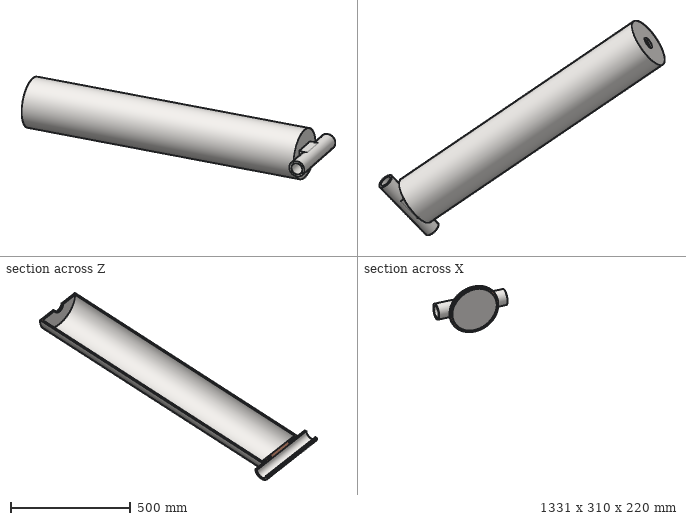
import cadquery as cq

body_length = 1260.0
body_diameter = 220.0
wall_thickness = 10.0
port_diameter = 50.0

tube_length = 310.0
tube_outer_diameter = 70.0
tube_inner_diameter = 50.0
tube_gap = 1.0

block_width = body_diameter / 2

tube_center_x = body_length + tube_gap + tube_outer_diameter / 2


def cylinder_along_x(start_x, length, diameter):
    """Solid cylinder on the X axis."""
    return cq.Workplane("YZ", origin=(start_x, 0, 0)).circle(diameter / 2).extrude(length)


def cylinder_along_y(diameter):
    """Solid cylinder as long as the cross tube, centered on Y."""
    plane = cq.Workplane("XZ", origin=(tube_center_x, 0, 0))
    return plane.circle(diameter / 2).extrude(tube_length / 2, both=True)


def make_body():
    """Closed vessel with a port through the near end cap."""
    outside = cylinder_along_x(0, body_length, body_diameter)
    cavity = cylinder_along_x(
        wall_thickness,
        body_length - 2 * wall_thickness,
        body_diameter - 2 * wall_thickness,
    )
    port = cylinder_along_x(0, wall_thickness, port_diameter)
    return outside.cut(cavity).cut(port)


def make_cross_tube():
    """Tube with its joining block, bored through along Y."""
    block = cq.Workplane("XY", origin=(body_length, 0, 0)).box(
        tube_center_x - body_length,
        block_width,
        tube_outer_diameter,
        centered=(False, True, True),
    )
    bore = cylinder_along_y(tube_inner_diameter)
    return cylinder_along_y(tube_outer_diameter).union(block).cut(bore)


result = make_body().union(make_cross_tube())